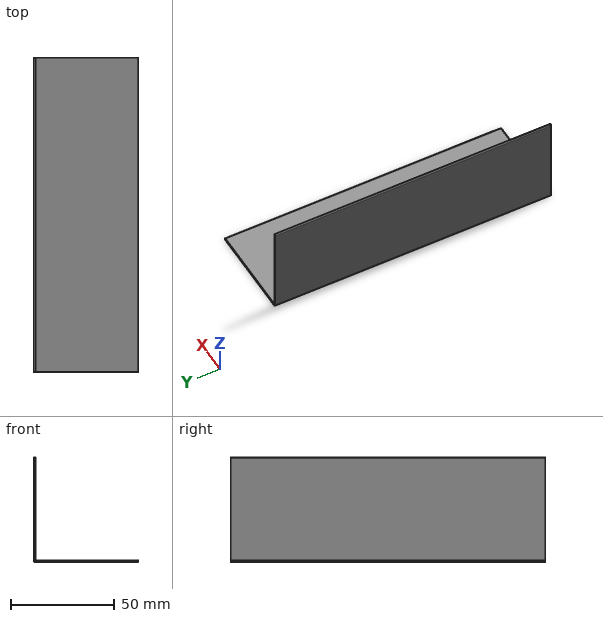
import cadquery as cq
import math

leg = 50.8
length = 152.4
thickness = 1.016
bend_radius = thickness
tip_radius = thickness / 2

outer = -leg / 2
inner = outer + thickness
middle = outer + tip_radius
tip = leg / 2
tip_start = tip - tip_radius
bend_middle = inner - bend_radius * math.cos(math.radians(45))


def angle_profile():
    """L-shaped section in the XZ plane, outer corner at the minimum X and Z."""
    return (
        cq.Workplane("XZ")
        .moveTo(inner, outer)
        .lineTo(tip_start, outer)
        .threePointArc((tip, middle), (tip_start, inner))
        .lineTo(inner, inner)
        .lineTo(inner, tip_start)
        .threePointArc((middle, tip), (outer, tip_start))
        .lineTo(outer, inner)
        .threePointArc((bend_middle, bend_middle), (inner, outer))
        .close()
    )


result = angle_profile().extrude(length / 2, both=True)